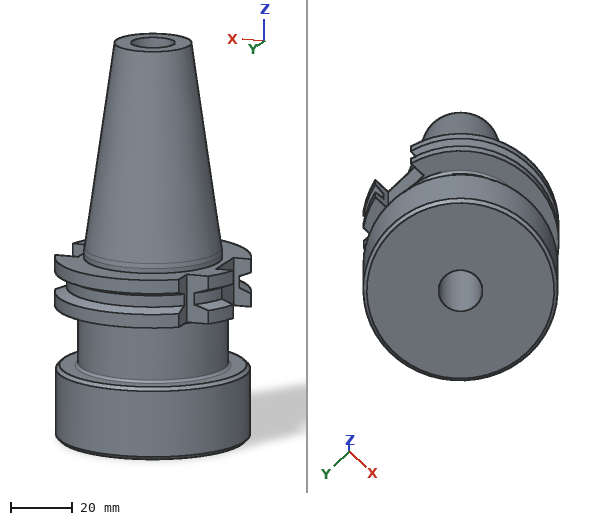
import cadquery as cq
import math

total_height = 131.4
nut_top = 24.2
flange_bottom = 44.2
flange_top = 60.0
neck_top = 61.8
taper_start = 63.3

nut_radius = 63.0 / 2
body_radius = 24.3
flange_radius = 31.8
groove_radius = 28.0
gauge_radius = 22.2
neck_radius = 22.5
taper_tip_radius = 12.5
bore_radius = 7.1

nut_chamfer = 1.2
body_fillet = 0.9

groove_floor_width = 3.8
groove_mouth_width = 7.0

slot_width = 16.3
left_slot_floor = 24.8
right_slot_floor = 22.7
runout_start = 40.5
runout_end = 36.4
notch_x = 18.5
notch_y = 18.4


def make_turned_body():
    """Nut, body, grooved flange and taper shank as one revolved profile."""
    groove_middle = (flange_bottom + flange_top) / 2
    arc_inset = body_fillet * (1 - math.sqrt(0.5))
    return (
        cq.Workplane("XZ")
        .moveTo(bore_radius, 0)
        .lineTo(nut_radius - nut_chamfer, 0)
        .lineTo(nut_radius, nut_chamfer)
        .lineTo(nut_radius, nut_top - nut_chamfer)
        .lineTo(nut_radius - nut_chamfer, nut_top)
        .lineTo(body_radius + body_fillet, nut_top)
        .threePointArc(
            (body_radius + arc_inset, nut_top + arc_inset),
            (body_radius, nut_top + body_fillet),
        )
        .lineTo(body_radius, flange_bottom - body_fillet)
        .threePointArc(
            (body_radius + arc_inset, flange_bottom - arc_inset),
            (body_radius + body_fillet, flange_bottom),
        )
        .lineTo(flange_radius, flange_bottom)
        .lineTo(flange_radius, groove_middle - groove_mouth_width / 2)
        .lineTo(groove_radius, groove_middle - groove_floor_width / 2)
        .lineTo(groove_radius, groove_middle + groove_floor_width / 2)
        .lineTo(flange_radius, groove_middle + groove_mouth_width / 2)
        .lineTo(flange_radius, flange_top)
        .lineTo(neck_radius, flange_top)
        .lineTo(neck_radius, neck_top)
        .lineTo(gauge_radius, taper_start)
        .lineTo(taper_tip_radius, total_height)
        .lineTo(bore_radius, total_height)
        .close()
        .revolve(360, (0, 0), (0, 1))
    )


def make_left_slot():
    """Drive slot on the -X side, through the flange only."""
    depth = flange_radius - left_slot_floor
    return cq.Workplane("XY").box(
        depth, slot_width, flange_top - flange_bottom, centered=(False, True, False)
    ).translate((-flange_radius, 0, flange_bottom))


def make_right_slot():
    """Deeper drive slot on the +X side, running out into the body below the flange."""
    profile = [
        (right_slot_floor, flange_top),
        (right_slot_floor, runout_start),
        (body_radius, runout_end),
        (flange_radius, runout_end),
        (flange_radius, flange_top),
    ]
    return cq.Workplane("XZ").polyline(profile).close().extrude(slot_width / 2, both=True)


def make_orientation_notch():
    """Square-cornered notch through the flange rim at -X, +Y."""
    return cq.Workplane("XY").box(
        flange_radius - notch_x,
        flange_radius - notch_y,
        flange_top - flange_bottom,
        centered=False,
    ).translate((-flange_radius, notch_y, flange_bottom))


result = (
    make_turned_body()
    .cut(make_left_slot())
    .cut(make_right_slot())
    .cut(make_orientation_notch())
)